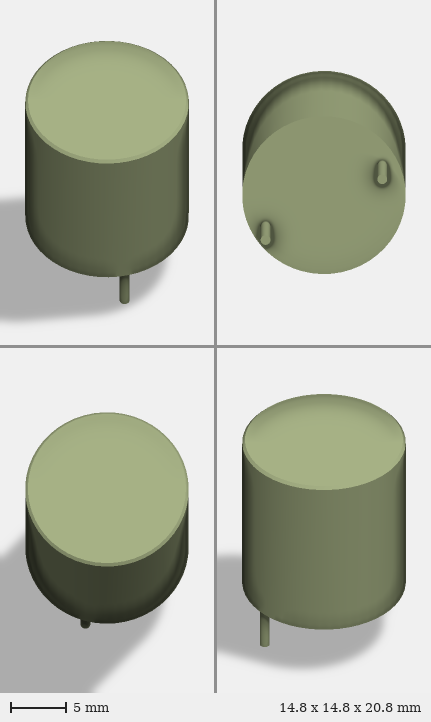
import cadquery as cq

total_height = 20.8
body_diameter = 14.8
pin_length = 5.0
pin_diameter = 0.9
pin_spacing = 12.0
top_chamfer = 0.25

body_height = total_height - pin_length


def make_body():
    """Upright cylinder with its lower face at Z = 0 and a chamfered top rim."""
    body = cq.Workplane("XY").circle(body_diameter / 2).extrude(body_height)
    return body.faces(">Z").edges().chamfer(top_chamfer)


def make_pins():
    """Two round leads on the X axis, hanging below the body."""
    centres = [(-pin_spacing / 2, 0), (pin_spacing / 2, 0)]
    return cq.Workplane("XY").pushPoints(centres).circle(pin_diameter / 2).extrude(-pin_length)


result = make_body().union(make_pins())